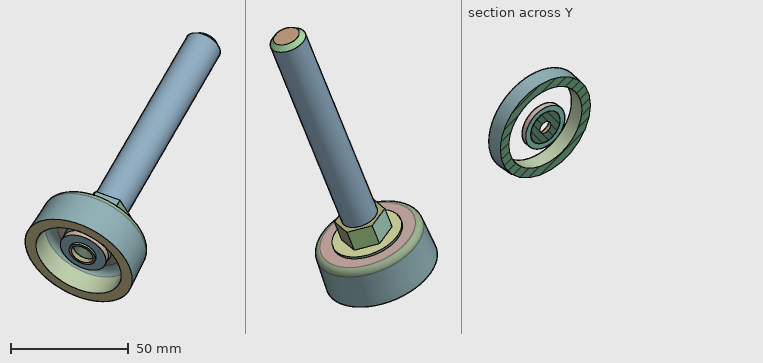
import cadquery as cq
import math

RIM_RADIUS = 25.02
SHOULDER_RADIUS = 24.2
FOOT_HEIGHT = 19.0
SHOULDER_FILLET = 2.9
COLLAR_RADIUS = 15.6
COLLAR_TOP_Y = 20.0
CAVITY_MOUTH_RADIUS = 19.9
CAVITY_WALL_RADIUS = 19.6
CAVITY_WALL_DEPTH = 9.4
CAVITY_FILLET = 3.0
BOSS_SLOPE_ANGLE = 30.0
BOSS_TOP_RADIUS = 10.9

STUD_END_Y = 130.0
SHANK_RADIUS = 8.0
SHANK_CHAMFER = 2.2
HEX_FLATS = 19.5
HEX_HEIGHT = 10.0
FLANGE_RADIUS = 10.7
FLANGE_END_Y = 4.7
FLANGE_THICKNESS = 2.6
LIP_RADIUS = 6.1
LIP_HEIGHT = 1.0
LIP_END_Y = FLANGE_END_Y - LIP_HEIGHT

HOLE_RADIUS = 5.1
HOLE_DEPTH = 2.3
DRILL_POINT_ANGLE = 120.0


def revolve_about_y(outline):
    """Close an XY half section and turn it around the Y axis."""
    return outline.close().revolve(360, (0, 0, 0), (0, 1, 0))


def make_foot():
    """Tapered hollow foot with a collar on top and a conical boss around the stud bore."""
    slope = math.radians(BOSS_SLOPE_ANGLE)
    shoulder_y = FOOT_HEIGHT - SHOULDER_FILLET
    boss_base_radius = CAVITY_WALL_RADIUS - CAVITY_FILLET * (1 + math.sin(slope))
    boss_base_y = CAVITY_WALL_DEPTH + CAVITY_FILLET * math.cos(slope)
    boss_top_y = boss_base_y - (boss_base_radius - BOSS_TOP_RADIUS) * math.tan(slope)
    outline = (
        cq.Workplane("XY")
        .moveTo(CAVITY_MOUTH_RADIUS, 0)
        .lineTo(RIM_RADIUS, 0)
        .lineTo(SHOULDER_RADIUS, shoulder_y)
        .radiusArc((SHOULDER_RADIUS - SHOULDER_FILLET, FOOT_HEIGHT), -SHOULDER_FILLET)
        .lineTo(COLLAR_RADIUS, FOOT_HEIGHT)
        .lineTo(COLLAR_RADIUS, COLLAR_TOP_Y)
        .lineTo(SHANK_RADIUS, COLLAR_TOP_Y)
        .lineTo(SHANK_RADIUS, boss_top_y)
        .lineTo(BOSS_TOP_RADIUS, boss_top_y)
        .lineTo(boss_base_radius, boss_base_y)
        .radiusArc((CAVITY_WALL_RADIUS, CAVITY_WALL_DEPTH), CAVITY_FILLET)
    )
    return revolve_about_y(outline)


def make_hole():
    """Blind hole with a drill point, as a cutting solid."""
    hole_end_y = LIP_END_Y + HOLE_DEPTH
    point_length = HOLE_RADIUS / math.tan(math.radians(DRILL_POINT_ANGLE / 2))
    outline = (
        cq.Workplane("XY")
        .moveTo(0, LIP_END_Y)
        .lineTo(HOLE_RADIUS, LIP_END_Y)
        .lineTo(HOLE_RADIUS, hole_end_y)
        .lineTo(0, hole_end_y + point_length)
    )
    return revolve_about_y(outline)


def make_hexagon():
    """Wrench hexagon with two corners on the X axis."""
    across_corners = HEX_FLATS / math.cos(math.pi / 6)
    return (
        cq.Workplane("XZ", origin=(0, COLLAR_TOP_Y, 0))
        .polygon(6, across_corners)
        .extrude(-HEX_HEIGHT)
    )


def make_stud():
    """Shank, wrench hexagon and end flange with a drilled lip, in one solid."""
    flange_back_y = FLANGE_END_Y + FLANGE_THICKNESS
    outline = (
        cq.Workplane("XY")
        .moveTo(0, LIP_END_Y)
        .lineTo(LIP_RADIUS, LIP_END_Y)
        .lineTo(LIP_RADIUS, FLANGE_END_Y)
        .lineTo(FLANGE_RADIUS, FLANGE_END_Y)
        .lineTo(FLANGE_RADIUS, flange_back_y)
        .lineTo(SHANK_RADIUS, flange_back_y)
        .lineTo(SHANK_RADIUS, STUD_END_Y - SHANK_CHAMFER)
        .lineTo(SHANK_RADIUS - SHANK_CHAMFER, STUD_END_Y)
        .lineTo(0, STUD_END_Y)
    )
    return revolve_about_y(outline).union(make_hexagon()).cut(make_hole())


foot = make_foot()
stud = make_stud()
result = cq.Compound.makeCompound([foot.val(), stud.val()])